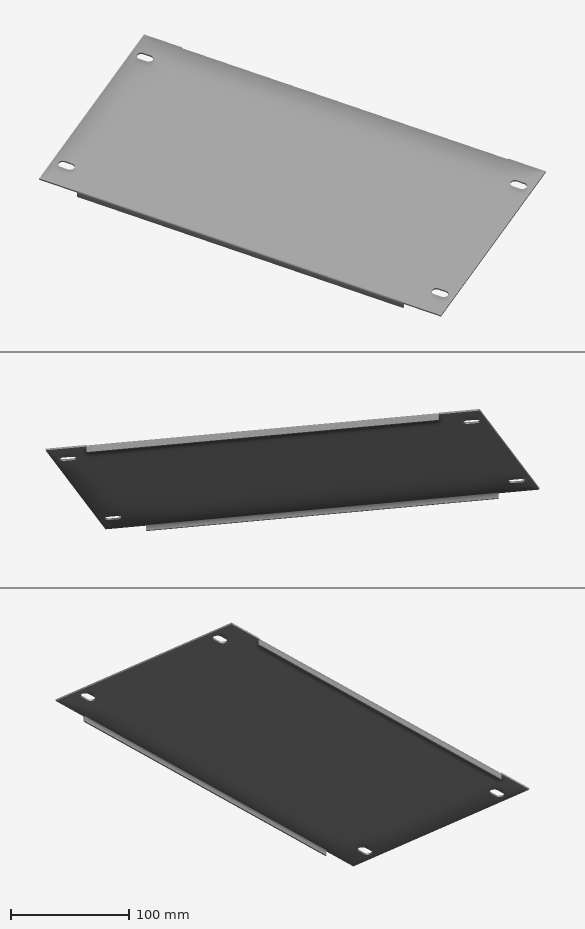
import cadquery as cq

length = 380.0
width = 199.0
height = 6.5
sheet = 1.5

flange_length = 308.5
inner_bend_radius = 0.2
outer_bend_radius = inner_bend_radius + sheet

slot_length = 15.0
slot_width = 8.0
slot_spacing_x = 353.5
slot_spacing_y = 149.5


def make_ears():
    """Flat sheet over the full length, with its top face at Z = 0."""
    return cq.Workplane("XY").box(length, width, sheet, centered=(True, True, False)).translate((0, 0, -sheet))


def make_folded_section():
    """Channel with rounded bends: the panel between the ears and both flanges."""
    channel = (
        cq.Workplane("XY")
        .box(flange_length, width, height, centered=(True, True, False))
        .translate((0, 0, -height))
        .edges("|X and >Z")
        .fillet(outer_bend_radius)
    )
    cavity_height = height - sheet
    cavity = (
        cq.Workplane("XY")
        .box(flange_length, width - 2 * sheet, cavity_height, centered=(True, True, False))
        .translate((0, 0, -height))
        .edges("|X and >Z")
        .fillet(inner_bend_radius)
    )
    return channel.cut(cavity)


def make_slots():
    """Cutters for the four mounting slots, long in X."""
    return (
        cq.Workplane("XY")
        .rect(slot_spacing_x, slot_spacing_y, forConstruction=True)
        .vertices()
        .slot2D(slot_length, slot_width)
        .extrude(-sheet)
    )


folded_zone = cq.Workplane("XY").box(flange_length, width, 2 * height)
result = make_ears().cut(folded_zone).union(make_folded_section()).cut(make_slots())